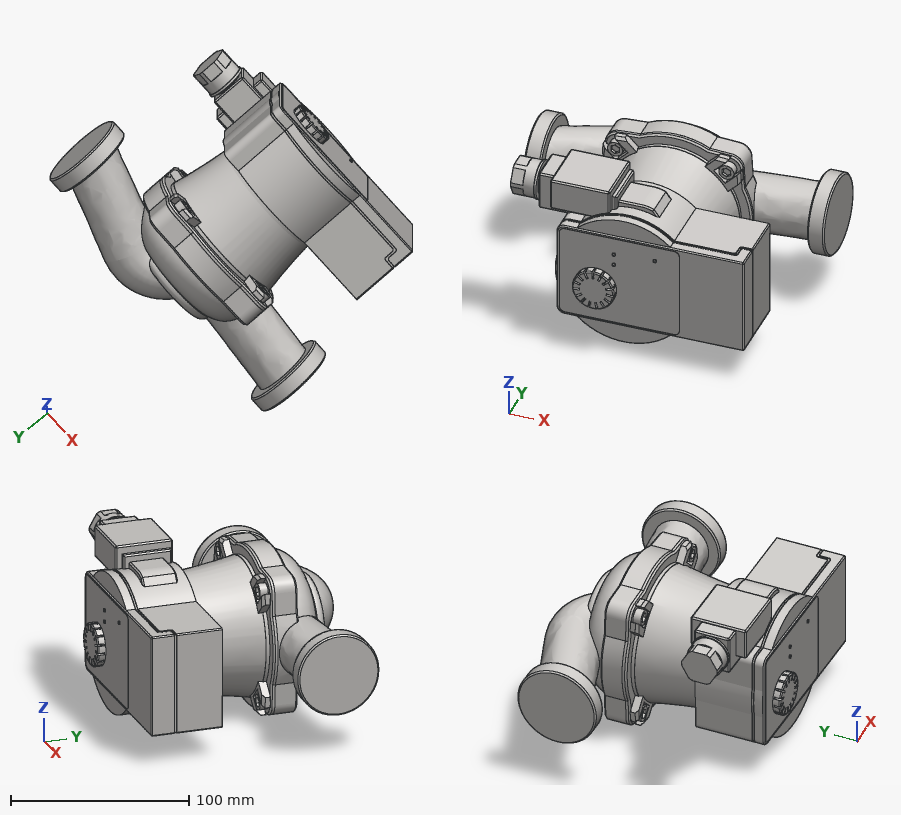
import cadquery as cq
import math


flange_radius = 46.8
screw_offset = 33.3
lug_radius = 8.0
lug_side_start = 20.7
lug_arc_start = 33.7
lug_half_width = screw_offset + lug_radius
flange_back = 30.6
flange_split = 17.1
flange_front = 14.4
housing_edge_chamfer = 1.0
motor_edge_chamfer = 1.0

length = 180.0
port_radius = 24.1
port_thickness = 10.0
port_chamfer = 0.9
port_y = 38.0
port_inner_x = length / 2 - port_thickness
pipe_end_radius = 17.0
volute_radius = 42.3
volute_flat_radius = 23.0
volute_back = 47.3
outlet_root_radius = 16.7
outlet_end_y = 37.6
eye_x = 1.8
eye_radius = 27.4
eye_height = 5.0
eye_fillet = 4.3
bend_x = -22.5
bend_y = 34.4
bend_radius = 21.2
bend_lead_angle = 17.8
bend_half_width = 16.5
bend_half_height = 18.4

motor_radius = 35.3
motor_mid_radius = 37.3
motor_base_radius = 40.3
motor_mid_y = -5.4
motor_straight_y = -22.0
collar_radius = 40.5
collar_front = 12.2
lug_block_front = 9.7
lug_block_chamfer = 1.6
lug_block_half_width = 9.7
lug_slot_half_width = 4.9
lug_slot_start = 41.2

screw_head_radius = 4.5
screw_head_front = 9.5
socket_width = 5.0
socket_depth = 1.8

box_back = -25.0
box_front = -67.3
drum_radius = 40.9
drum_front = -66.6
box_half_height = 29.9
drum_strip_half_height = 9.0
box_left = -math.sqrt(drum_radius**2 - drum_strip_half_height**2)
box_right = 72.2
box_corner_radius = 4.7
box_edge_chamfer = 0.7
seam_back = -59.8
seam_width = 1.3
seam_depth = 0.5
seam_step_x = 64.5
seam_step_back = -52.2
seam_corner_radius = 1.5
panel_left = -38.2
panel_right = 33.7
panel_half_height = 28.3
panel_corner_radius = 3.2
panel_height = 0.2
lamp_radius = 0.99
lamp_front = -68.0
lamp_places = [(-5.4, 17.8), (-5.4, 11.0), (19.0, 19.3)]

knob_x = -16.4
knob_z = -6.5
knob_radius = 12.51
knob_front = -72.2
knob_slot_count = 15
knob_slot_inner_radius = 8.1
knob_slot_width = 1.0
knob_slot_depth = 4.0
knob_chamfer = 0.7

lid_left = -46.8
lid_right = -11.2
lid_back = -25.0
lid_front = -59.2
lid_bottom = 33.8
lid_top = 53.0
lid_chamfer = 0.9
base_left = -56.0
base_right = -21.6
base_back = -31.3
base_front = -53.1
base_bottom = 28.3
base_top = 51.7
base_chamfer = 0.9
rim_right = -8.3
rim_back = -26.6
rim_front = -55.5
rim_top = 48.0
rim_chamfer = 0.9
tongue_flat_x = 5.4
tongue_bend_x = 12.6
tongue_right = 15.8
tongue_top = 43.7
tongue_bend_z = 42.1
tongue_back = -31.3
tongue_front = -52.2
tongue_chamfer = 0.9
gland_y = -42.1
gland_z = 40.0
gland_neck_radius = 8.5
gland_washer_radius = 11.5
gland_body_radius = 11.0
gland_hex_width = 20.2
gland_washer_right = -57.2
gland_washer_left = -58.7
gland_hex_right = -65.3
gland_left = -72.7


def xz_plane(y):
    """Work plane across the pump axis; its extrusions run towards -Y."""
    return cq.Workplane("XZ", origin=(0, y, 0))


def block(x_range, y_range, z_range):
    """Box between two limits on each axis."""
    limits = (x_range, y_range, z_range)
    sizes = [high - low for low, high in limits]
    return cq.Workplane("XY").box(*sizes, centered=False).translate([low for low, _ in limits])


def lug_square(back, front):
    """Nearly square prism with a rounded corner at each screw and sides that run out to the disc."""
    side_height = math.sqrt(flange_radius**2 - lug_side_start**2)
    arc_mid = screw_offset + lug_radius * math.sqrt(0.5)

    def turned(x, z, quarter):
        cosine = round(math.cos(quarter * math.pi / 2))
        sine = round(math.sin(quarter * math.pi / 2))
        return (x * cosine + z * sine, z * cosine - x * sine)

    outline = xz_plane(back).moveTo(-lug_side_start, side_height)
    for quarter in range(4):
        outline = (
            outline.lineTo(*turned(lug_side_start, side_height, quarter))
            .lineTo(*turned(lug_arc_start, lug_half_width, quarter))
            .threePointArc(
                turned(arc_mid, arc_mid, quarter),
                turned(lug_half_width, lug_arc_start, quarter),
            )
            .lineTo(*turned(side_height, lug_side_start, quarter))
        )
    return outline.close().extrude(back - front)


def flange_slab(back, front):
    """Round flange with four screw lugs."""
    disc = xz_plane(back).circle(flange_radius).extrude(back - front)
    return disc.union(lug_square(back, front))


def port_flange(left):
    """Disc of one port, starting at the given X."""
    disc = cq.Workplane("YZ", origin=(left, port_y, 0)).circle(port_radius).extrude(port_thickness)
    return disc.edges().chamfer(port_chamfer)


def volute():
    """Solid of revolution with an elliptical shoulder."""
    shoulder_width = volute_radius - volute_flat_radius
    shoulder_height = volute_back - flange_back
    diagonal = math.sqrt(0.5)
    shoulder_mid = (
        volute_flat_radius + shoulder_width * diagonal,
        flange_back + shoulder_height * diagonal,
    )
    profile = (
        cq.Workplane("XY")
        .moveTo(0, flange_split)
        .lineTo(volute_radius, flange_split)
        .lineTo(volute_radius, flange_back)
        .threePointArc(shoulder_mid, (volute_flat_radius, volute_back))
        .lineTo(0, volute_back)
        .close()
    )
    return profile.revolve(360, (0, 0), (0, 1))


def suction_eye():
    """Raised round pad on the back of the volute."""
    base = xz_plane(volute_back).center(eye_x, 0).circle(eye_radius)
    return base.extrude(-eye_height).faces(">Y").edges().fillet(eye_fillet)


def inlet_pipe():
    """Inclined pipe that turns over an elbow into the back of the volute."""
    lead = math.radians(bend_lead_angle)
    direction = cq.Vector(math.cos(lead), math.sin(lead), 0)
    start = cq.Vector(
        bend_x - bend_radius * math.sin(lead),
        bend_y + bend_radius * math.cos(lead),
        0,
    )
    up = cq.Vector(0, 0, 1)
    port_end = cq.Wire.makeEllipse(
        pipe_end_radius, pipe_end_radius, cq.Vector(-port_inner_x, port_y, 0), cq.Vector(1, 0, 0), up
    )
    bend_end = cq.Wire.makeEllipse(bend_half_height, bend_half_width, start, direction, up)
    straight = cq.Workplane(cq.Solid.makeLoft([port_end, bend_end], True))
    elbow = (
        cq.Workplane(cq.Plane(origin=start, xDir=up, normal=direction))
        .ellipse(bend_half_height, bend_half_width)
        .revolve(90 + bend_lead_angle, (1.8, bend_radius), (0, bend_radius))
    )
    return straight.union(elbow, clean=False)


def outlet_pipe():
    """Slightly rising pipe from the middle of the volute to the outlet port."""
    along_x = cq.Vector(1, 0, 0)
    root_centre = cq.Vector(0, volute_back - outlet_root_radius, 0)
    root = cq.Wire.makeCircle(outlet_root_radius, root_centre, along_x)
    end = cq.Wire.makeCircle(pipe_end_radius, cq.Vector(port_inner_x, outlet_end_y, 0), along_x)
    pipe = cq.Workplane(cq.Solid.makeLoft([root, end], True))
    below_joint = xz_plane(flange_split).circle(flange_radius).extrude(port_radius)
    return pipe.cut(below_joint)


def make_housing():
    flange = flange_slab(flange_back, flange_split).faces(">Y").edges().chamfer(housing_edge_chamfer)
    housing = flange.union(volute()).union(suction_eye())
    housing = housing.union(outlet_pipe(), clean=False).union(inlet_pipe(), clean=False)
    for left in (-length / 2, port_inner_x):
        housing = housing.union(port_flange(left), clean=False)
    return housing


def motor_can():
    """Can that narrows from the flange collar to a short straight end."""
    profile = (
        cq.Workplane("XY")
        .moveTo(0, box_back)
        .lineTo(motor_radius, box_back)
        .lineTo(motor_radius, motor_straight_y)
        .threePointArc((motor_mid_radius, motor_mid_y), (motor_base_radius, collar_front))
        .lineTo(collar_radius, collar_front)
        .lineTo(collar_radius, flange_front)
        .lineTo(0, flange_front)
        .close()
    )
    return profile.revolve(360, (0, 0), (0, 1))


def lug_blocks():
    """Four diagonal blocks at the screws, each as wide as two walls and a slot."""
    depth = flange_front - lug_block_front
    bars = xz_plane(flange_front).rect(4 * lug_half_width, 2 * lug_block_half_width).extrude(depth)
    cross = bars.rotate((0, 0, 0), (0, 1, 0), 45).union(bars.rotate((0, 0, 0), (0, 1, 0), -45))
    limit = lug_square(flange_front, lug_block_front).faces("<Y").edges().chamfer(lug_block_chamfer)
    return cross.intersect(limit)


def lug_slots():
    """Radial slots that leave room for the screw heads."""
    slot = block(
        (lug_slot_start, 2 * lug_half_width),
        (lug_block_front, flange_front),
        (-lug_slot_half_width, lug_slot_half_width),
    )
    slots = cq.Workplane("XY")
    for angle in (45, 135, 225, 315):
        slots = slots.add(slot.rotate((0, 0, 0), (0, 1, 0), angle))
    return slots.combine()


def make_motor():
    flange = flange_slab(flange_split, flange_front).faces("<Y").edges().chamfer(motor_edge_chamfer)
    return flange.union(motor_can()).union(lug_blocks()).cut(lug_slots())


def make_screw(x, z):
    """Socket head resting on the floor of its lug slot."""
    head = (
        xz_plane(flange_front)
        .center(x, z)
        .circle(screw_head_radius)
        .extrude(flange_front - screw_head_front)
    )
    socket = (
        xz_plane(screw_head_front + socket_depth)
        .center(x, z)
        .polygon(6, socket_width, circumscribed=True)
        .extrude(socket_depth)
    )
    return head.cut(socket)


def enclosure():
    """Outer shape of the control box with its cover: a rectangular case crossed by a drum."""
    case = block((box_left, box_right), (box_front, box_back), (-box_half_height, box_half_height))
    case = case.edges("|Y and <X").fillet(box_corner_radius)
    case = case.faces(">X").edges("|Y").chamfer(box_edge_chamfer)
    case = case.faces("<Y").edges().chamfer(box_edge_chamfer)
    drum = xz_plane(box_back).circle(drum_radius).extrude(box_back - drum_front)
    return case.union(drum)


def front_region(offset):
    """Everything in front of the stepped seam, moved towards the front by the given offset."""
    reach = length
    region = (
        cq.Workplane("XY", origin=(0, 0, -reach))
        .moveTo(-reach, seam_back - offset)
        .lineTo(seam_step_x + offset, seam_back - offset)
        .lineTo(seam_step_x + offset, seam_step_back - offset)
        .lineTo(reach, seam_step_back - offset)
        .lineTo(reach, -reach)
        .lineTo(-reach, -reach)
        .close()
        .extrude(2 * reach)
    )
    step_corners = cq.selectors.BoxSelector((0, -reach / 2, -reach), (reach / 2, 0, reach))
    return region.edges("|Z").edges(step_corners).fillet(seam_corner_radius)


def seam_core():
    """Enclosure section inside the seam groove."""
    depth = box_back - box_front
    half_height = box_half_height - seam_depth
    x_range = (box_left + seam_depth, box_right - seam_depth)
    case = block(x_range, (box_front, box_back), (-half_height, half_height))
    case = case.edges("|Y and <X").fillet(box_corner_radius - seam_depth)
    drum = xz_plane(box_back).circle(drum_radius - seam_depth).extrude(depth)
    return case.union(drum)


def make_control_box():
    box = enclosure().cut(front_region(0))
    lip = seam_core().intersect(front_region(0)).cut(front_region(seam_width))
    return box.union(lip)


def make_cover():
    cover = enclosure().intersect(front_region(seam_width))
    panel = block(
        (panel_left, panel_right),
        (box_front - panel_height, box_front),
        (-panel_half_height, panel_half_height),
    )
    cover = cover.union(panel.edges("|Y").fillet(panel_corner_radius))
    lamps = xz_plane(box_front).pushPoints(lamp_places).circle(lamp_radius).extrude(box_front - lamp_front)
    return cover.union(lamps)


def make_knob():
    panel_front = box_front - panel_height
    knob = xz_plane(panel_front).circle(knob_radius).extrude(panel_front - knob_front)
    knob = knob.faces("<Y").edges().chamfer(knob_chamfer)
    slot = block(
        (-knob_slot_width / 2, knob_slot_width / 2),
        (knob_front, knob_front + knob_slot_depth),
        (knob_slot_inner_radius, knob_radius + knob_slot_width),
    )
    for i in range(knob_slot_count):
        knob = knob.cut(slot.rotate((0, 0, 0), (0, 1, 0), i * 360 / knob_slot_count))
    return knob.translate((knob_x, 0, knob_z))


def tongue():
    """Pad lying on the drum, bevelled at its far end."""
    bend_mid_x = (tongue_flat_x + tongue_bend_x) / 2
    bend_mid_z = tongue_top - (tongue_top - tongue_bend_z) / 4
    pad = (
        xz_plane(tongue_back)
        .moveTo(lid_right, base_bottom)
        .lineTo(lid_right, tongue_top)
        .lineTo(tongue_flat_x, tongue_top)
        .threePointArc((bend_mid_x, bend_mid_z), (tongue_bend_x, tongue_bend_z))
        .lineTo(tongue_right, math.sqrt(drum_radius**2 - tongue_right**2))
        .lineTo(tongue_right, base_bottom)
        .close()
        .extrude(tongue_back - tongue_front)
    )
    return pad.faces("<Y or >Y").edges().chamfer(tongue_chamfer)


def gland():
    """Cable gland: neck, washer, round body and hexagonal nut along X."""

    def turned(left, right, radius):
        start = cq.Workplane("YZ", origin=(left, gland_y, gland_z))
        return start.circle(radius).extrude(right - left)

    nut = (
        cq.Workplane("YZ", origin=(gland_left, gland_y, gland_z))
        .transformed(rotate=(0, 0, 30))
        .polygon(6, gland_hex_width, circumscribed=True)
        .extrude(gland_hex_right - gland_left)
        .intersect(turned(gland_left, gland_hex_right, gland_body_radius))
    )
    body = turned(gland_hex_right, gland_washer_left, gland_body_radius)
    washer = turned(gland_washer_left, gland_washer_right, gland_washer_radius)
    neck = turned(gland_washer_right, base_left, gland_neck_radius)
    return nut.union(body).union(washer).union(neck)


def make_terminal_box():
    lid = block((lid_left, lid_right), (lid_front, lid_back), (lid_bottom, lid_top))
    lid = lid.edges().chamfer(lid_chamfer)
    base = block((base_left, base_right), (base_front, base_back), (base_bottom, base_top))
    base = base.edges().chamfer(base_chamfer)
    rim = block((lid_right, rim_right), (rim_front, rim_back), (lid_bottom, rim_top))
    rim = rim.faces(">X").edges().chamfer(rim_chamfer)
    terminal = lid.union(base).union(rim).union(tongue()).union(gland())
    return terminal.cut(enclosure())


housing = make_housing()
motor = make_motor()
screws = [
    make_screw(x, z)
    for x in (-screw_offset, screw_offset)
    for z in (-screw_offset, screw_offset)
]
control_box = make_control_box()
cover = make_cover()
knob = make_knob()
terminal_box = make_terminal_box()

bodies = [housing, motor, *screws, control_box, cover, knob, terminal_box]

result = cq.Compound.makeCompound([body.solids().val() for body in bodies])